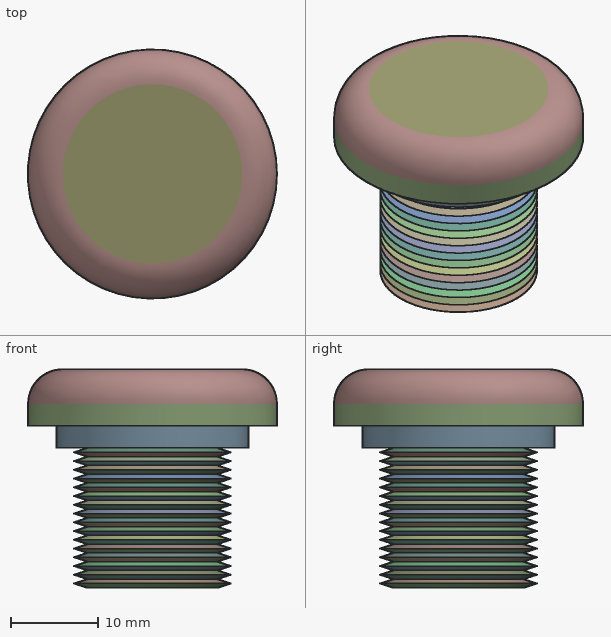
import cadquery as cq

CAP_DIAMETER = 28.5
CAP_HEIGHT = 6.5
CAP_RIM_RADIUS = 4.0

COLLAR_DIAMETER = 22.0
COLLAR_HEIGHT = 2.5
TOTAL_HEIGHT = 25.0
THREAD_CREST_DIAMETER = 17.95
THREAD_ROOT_DIAMETER = 14.93
RIDGE_COUNT = 16

STEM_LENGTH = TOTAL_HEIGHT - CAP_HEIGHT - COLLAR_HEIGHT
COLLAR_TOP = STEM_LENGTH + COLLAR_HEIGHT
THREAD_PITCH = STEM_LENGTH / RIDGE_COUNT


def make_cap():
    """Disc resting on the collar, with its top edge rounded."""
    disc = cq.Workplane("XY").workplane(offset=COLLAR_TOP).circle(CAP_DIAMETER / 2).extrude(CAP_HEIGHT)
    return disc.faces(">Z").edges().fillet(CAP_RIM_RADIUS)


def make_stud():
    """Revolved stem and collar; each thread ridge is a separate V-shaped ring."""
    root_radius = THREAD_ROOT_DIAMETER / 2
    crest_radius = THREAD_CREST_DIAMETER / 2
    collar_radius = COLLAR_DIAMETER / 2

    profile = [(0, 0), (root_radius, 0)]
    for ridge in range(RIDGE_COUNT):
        profile.append((crest_radius, (ridge + 0.5) * THREAD_PITCH))
        profile.append((root_radius, (ridge + 1) * THREAD_PITCH))
    profile += [(collar_radius, STEM_LENGTH), (collar_radius, COLLAR_TOP), (0, COLLAR_TOP)]
    return cq.Workplane("XZ").polyline(profile).close().revolve(360, (0, 0, 0), (0, 1, 0))


cap = make_cap()
stud = make_stud()

result = cq.Compound.makeCompound([cap.val(), stud.val()])